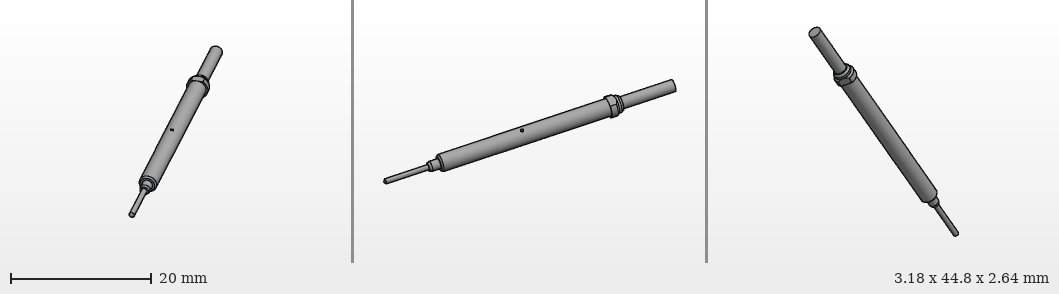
import cadquery as cq

total_length = 44.8
needle_front = 0.3
nozzle_front = 6.9
nozzle_chamfer_end = 7.3
barrel_front = 8.55
barrel_chamfer_end = 8.83
sleeve_back = 17.0
barrel_step = 17.35
flange_front = 34.68
flange_cone_start = 35.6
collar_front = 35.95
collar_cone_start = 36.3
collar_back = 36.7

needle_radius = 0.4
nozzle_tip_radius = 0.63
nozzle_radius = 0.75
barrel_front_radius = 1.08
sleeve_radius = 1.3
barrel_radius = 1.32
flange_radius = 1.59
collar_back_radius = 1.08
tail_radius = 0.92

width_across_flats = 2 * barrel_radius
dimple_station = 21.4
dimple_radius = 0.22
dimple_depth = 0.2


def turned_body():
    """Revolve the stepped half profile about the Y axis."""
    profile = [
        (0, 0),
        (needle_radius, needle_front),
        (needle_radius, nozzle_front),
        (nozzle_tip_radius, nozzle_front),
        (nozzle_radius, nozzle_chamfer_end),
        (nozzle_radius, barrel_front),
        (barrel_front_radius, barrel_front),
        (sleeve_radius, barrel_chamfer_end),
        (sleeve_radius, sleeve_back),
        (barrel_radius, barrel_step),
        (barrel_radius, flange_front),
        (flange_radius, flange_front),
        (flange_radius, flange_cone_start),
        (barrel_radius, collar_front),
        (barrel_radius, collar_cone_start),
        (collar_back_radius, collar_back),
        (tail_radius, collar_back),
        (tail_radius, total_length),
        (0, total_length),
    ]
    return cq.Workplane("XY").polyline(profile).close().revolve(360, (0, 0), (0, 1))


def flats_envelope():
    """Slab whose top and bottom faces form the two flats on the flange."""
    return cq.Workplane("XY").box(
        2 * flange_radius, total_length, width_across_flats, centered=(True, False, True)
    )


def dimple():
    """Round blind recess in the top of the barrel."""
    return (
        cq.Workplane("XY", origin=(0, dimple_station, barrel_radius - dimple_depth))
        .circle(dimple_radius)
        .extrude(2 * dimple_depth)
    )


result = turned_body().intersect(flats_envelope()).cut(dimple())